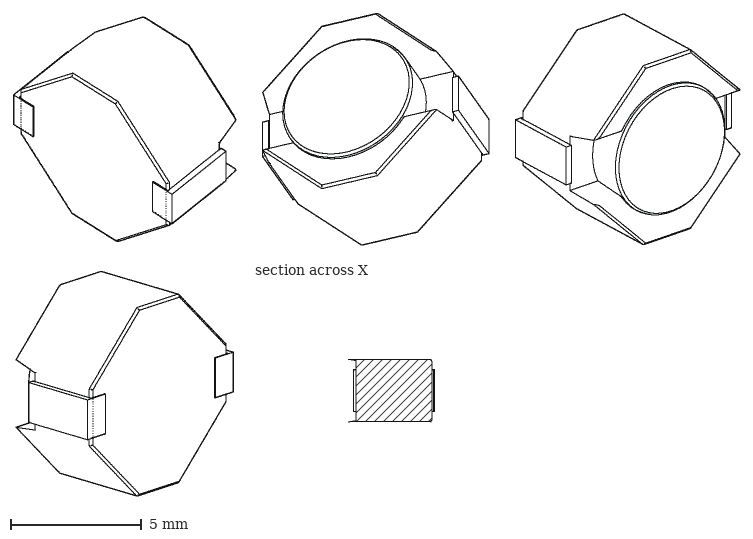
import cadquery as cq

body_size = 7.6
body_depth = 4.25
flat_length = 2.3
corner_radius = 0.1
face_chamfer = 0.1

core_radius = 2.68
core_rise = 0.2
core_chamfer = 0.1

notch_floor = 2.965
notch_top_width = 2.75
notch_lip_radius = 0.1

overall_width = 8.1
terminal_width = 1.6
terminal_height = 3.06
foot_thickness = 0.05
foot_length = 1.005

core_back = body_depth + core_rise
half_body = body_size / 2
half_flat = flat_length / 2


def back_face_plane(y):
    """Plane at the given Y that faces +Y, so that extrusions run toward the back."""
    return cq.Workplane(cq.Plane(origin=(0, y, 0), xDir=(1, 0, 0), normal=(0, 1, 0)))


def make_body():
    corners = [
        (half_flat, half_body), (half_body, half_flat),
        (half_body, -half_flat), (half_flat, -half_body),
        (-half_flat, -half_body), (-half_body, -half_flat),
        (-half_body, half_flat), (-half_flat, half_body),
    ]
    body = back_face_plane(0).polyline(corners).close().extrude(body_depth)
    body = body.edges("|Y").fillet(corner_radius)
    return body.faces("<Y or >Y").edges().chamfer(face_chamfer)


def make_core():
    core = back_face_plane(notch_floor).circle(core_radius).extrude(core_back - notch_floor)
    return core.faces(">Y").edges().chamfer(core_chamfer)


def make_notches():
    """Flared slot along X with rounded lips, outside the core only."""
    half_top = notch_top_width / 2
    block = cq.Workplane("XY").box(body_size, body_depth - notch_floor, body_size)
    block = block.translate((0, (body_depth + notch_floor) / 2, 0))
    profile = [
        (notch_floor, -half_flat), (body_depth, -half_top),
        (body_depth, half_top), (notch_floor, half_flat),
    ]
    slot = cq.Workplane("YZ").polyline(profile).close().extrude(half_body, both=True)
    walls = block.cut(slot)
    mouth_edges = walls.faces(">Y").edges("|X").edges(
        cq.selectors.BoxSelector(
            (-half_body, notch_floor, -half_body + notch_lip_radius),
            (half_body, core_back, half_body - notch_lip_radius),
        )
    )
    slot = block.cut(mouth_edges.fillet(notch_lip_radius))
    return slot.cut(make_core())


def make_terminal(side):
    """Side plate with a thin foot folded under the mounting face."""
    plate_thickness = overall_width / 2 - half_body
    plate = cq.Workplane("XY").box(
        plate_thickness, terminal_height + foot_thickness, terminal_width
    ).translate((
        side * (half_body + plate_thickness / 2),
        (terminal_height - foot_thickness) / 2,
        0,
    ))
    foot = cq.Workplane("XY").box(foot_length, foot_thickness, terminal_width)
    foot = foot.translate((side * (overall_width - foot_length) / 2, -foot_thickness / 2, 0))
    return plate.union(foot)


result = make_body().cut(make_notches()).union(make_core())
for side in (-1, 1):
    result = result.union(make_terminal(side))